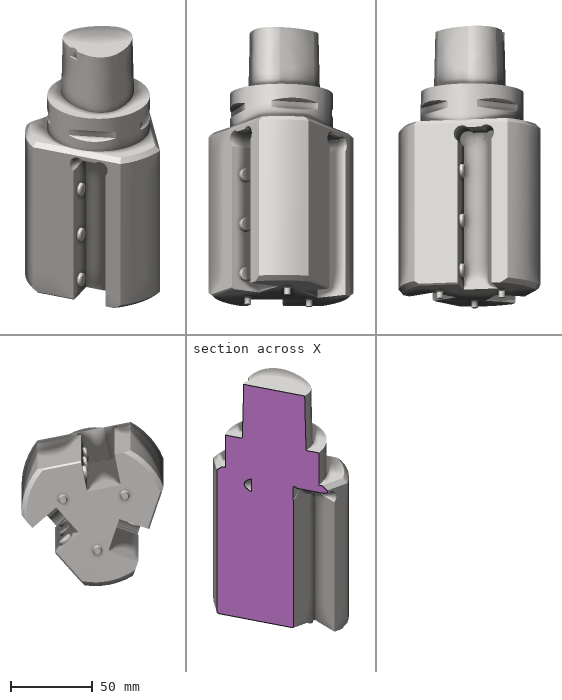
import cadquery as cq
import math


total_length = 167.8
nozzle_length = 4.5
body_height = 103.0
flange_height = 22.5
flange_top = body_height + flange_height
shank_top = total_length - nozzle_length
shank_height = shank_top - flange_top

flat_count = 3
flat_spacing = 360.0 / flat_count
body_radius = 45.1
flat_distance = 34.4
body_chamfer = 2.9

slot_left = 2.0
slot_right = -19.1
slot_depth = 19.5
slot_top = 97.6
relief_diameter = 10.0
relief_positions = (-0.5, -15.6)
relief_z = 93.8
relief_extra_depth = 0.3
flat_edge_chamfer = 1.0

button_diameter = 8.5
button_height = 2.3
button_chamfer = 0.7
button_inset = 9.2
button_count = 3
button_first_z = 10.0
button_pitch = 31.0

nozzle_diameter = 4.0
nozzle_flare_diameter = 5.7
nozzle_flare_height = (nozzle_flare_diameter - nozzle_diameter) / 2
nozzle_x = -13.5
nozzle_y = 17.5

flange_diameter = 63.0
groove_count = 4
groove_floor_distance = 27.8
groove_floor_width = 4.0
groove_side_angle = 25.0
groove_z = 113.2

lobe_count = 3
lobe_spacing = 360.0 / lobe_count
shank_side_reach = 20.5
shank_lobe_reach = 23.7
shank_lobe_radius = 14.6
shank_taper_angle = math.degrees(math.atan(1 / 40))

notch_diameter = 8.5
notch_height = 6.0
notch_floor = 17.8


def polar(radius, angle):
    """Point at a radius and an angle in degrees."""
    return (radius * math.cos(math.radians(angle)), radius * math.sin(math.radians(angle)))


def at_each_flat(shape):
    """Copies of a shape made for the -X flat, one for each flat of the body."""
    axis_start, axis_end = (0, 0, 0), (0, 0, 1)
    copies = cq.Workplane("XY")
    for index in range(flat_count):
        copies = copies.add(shape.rotate(axis_start, axis_end, index * flat_spacing))
    return copies.combine()


def make_body():
    corner_half_angle = math.degrees(math.acos(flat_distance / body_radius))
    outline = cq.Workplane("XY").moveTo(*polar(body_radius, 180 - corner_half_angle))
    for index in range(flat_count):
        flat_angle = 180 + index * flat_spacing
        arc_middle = polar(body_radius, flat_angle + flat_spacing / 2)
        arc_end = polar(body_radius, flat_angle + flat_spacing - corner_half_angle)
        outline = outline.lineTo(*polar(body_radius, flat_angle + corner_half_angle))
        outline = outline.threePointArc(arc_middle, arc_end)
    prism = outline.close().extrude(body_height).faces(">Z").chamfer(body_chamfer)

    turned = cq.Workplane("XY").circle(body_radius).extrude(body_height)
    turned = turned.faces("<Z").chamfer(body_chamfer)
    return prism.intersect(turned)


def make_slot_cutter():
    """Slot open at the flat and the bottom, its two upper relief holes and the edge chamfer."""
    slot_width = slot_left - slot_right
    slot = cq.Workplane("XY", origin=(-flat_distance, slot_right, 0))
    slot = slot.box(slot_depth, slot_width, slot_top, centered=False)
    reliefs = (
        cq.Workplane("YZ", origin=(-flat_distance, 0, 0))
        .pushPoints([(y, relief_z) for y in relief_positions])
        .circle(relief_diameter / 2)
        .extrude(slot_depth + relief_extra_depth)
    )
    edge_chamfer = (
        cq.Workplane("XZ", origin=(-flat_distance, slot_left, 0))
        .polyline([(0, 0), (flat_edge_chamfer, 0), (0, flat_edge_chamfer)])
        .close()
        .extrude(-body_radius)
    )
    return slot.union(reliefs).union(edge_chamfer)


def make_buttons():
    heights = [button_first_z + index * button_pitch for index in range(button_count)]
    return (
        cq.Workplane("XZ", origin=(button_inset - flat_distance, slot_left, 0))
        .pushPoints([(0, z) for z in heights])
        .circle(button_diameter / 2)
        .extrude(button_height)
        .faces("<Y")
        .chamfer(button_chamfer)
    )


def make_nozzle():
    pin = cq.Workplane("XY").circle(nozzle_diameter / 2).extrude(-nozzle_length)
    flare = cq.Workplane("XY").circle(nozzle_flare_diameter / 2)
    flare = flare.workplane(offset=-nozzle_flare_height).circle(nozzle_diameter / 2).loft()
    return pin.union(flare).translate((nozzle_x, nozzle_y, 0))


def make_flange():
    flange_radius = flange_diameter / 2
    flange = cq.Workplane("XY", origin=(0, 0, body_height)).circle(flange_radius)
    flange = flange.extrude(flange_height)

    depth = flange_radius - groove_floor_distance
    floor_half = groove_floor_width / 2
    mouth_half = floor_half + depth * math.tan(math.radians(groove_side_angle))
    groove = (
        cq.Workplane("XZ", origin=(0, 0, groove_z))
        .polyline([
            (groove_floor_distance, -floor_half),
            (flange_radius, -mouth_half),
            (flange_radius, mouth_half),
            (groove_floor_distance, floor_half),
        ])
        .close()
        .extrude(flange_radius, both=True)
    )
    spacing = 360.0 / groove_count
    for index in range(groove_count):
        flange = flange.cut(groove.rotate((0, 0, 0), (0, 0, 1), (index + 0.5) * spacing))
    return flange


def make_shank():
    lobe_center = shank_lobe_reach - shank_lobe_radius
    drop = shank_side_reach - lobe_center * math.cos(math.radians(lobe_spacing / 2))
    center_offset = lobe_center * math.sin(math.radians(lobe_spacing / 2))
    tangency_term = drop**2 + center_offset**2 - shank_lobe_radius**2
    side_radius = tangency_term / (2 * (drop - shank_lobe_radius))
    join_x = side_radius * center_offset / (side_radius - shank_lobe_radius)
    join_y = side_radius - shank_side_reach - math.sqrt(side_radius**2 - join_x**2)
    join_radius = math.hypot(join_x, join_y)
    join_half_angle = math.degrees(math.atan2(join_x, -join_y))

    outline = cq.Workplane("XY", origin=(0, 0, flange_top))
    outline = outline.moveTo(*polar(join_radius, -90 - join_half_angle))
    for index in range(lobe_count):
        side_angle = -90 + index * lobe_spacing
        lobe_angle = side_angle + lobe_spacing / 2
        side_end = polar(join_radius, side_angle + join_half_angle)
        lobe_end = polar(join_radius, side_angle + lobe_spacing - join_half_angle)
        outline = outline.threePointArc(polar(shank_side_reach, side_angle), side_end)
        outline = outline.threePointArc(polar(shank_lobe_reach, lobe_angle), lobe_end)
    shank = outline.close().extrude(shank_height, taper=shank_taper_angle)

    notch = (
        cq.Workplane("XY", origin=(0, -notch_floor - notch_diameter / 2, shank_top))
        .circle(notch_diameter / 2)
        .extrude(-notch_height)
    )
    return shank.cut(notch)


body = make_body().cut(at_each_flat(make_slot_cutter()))
body = body.union(at_each_flat(make_buttons())).union(at_each_flat(make_nozzle()))
result = body.union(make_flange()).union(make_shank())